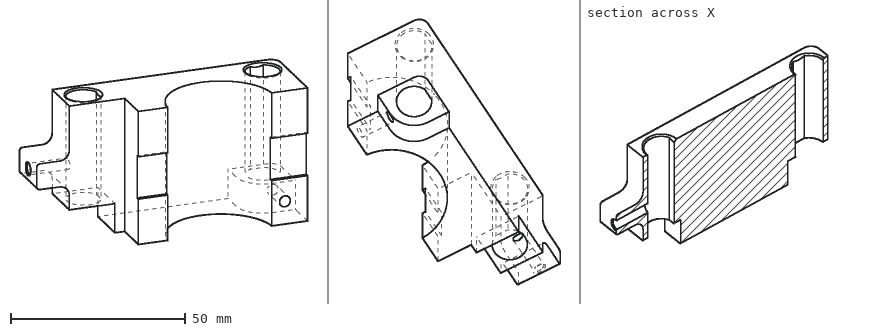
import cadquery as cq

length = 79.0
width = 25.0
height = 41.0
mid_height = height / 2
arm_width = 14.0
shoulder_y = 27.0
corner_radius = 3.0

tongue_length = 10.0
tongue_thickness = 8.0
root_radius = 3.0
tip_radius = 1.0

saddle_radius = 16.0
saddle_floor_x = 9.95
saddle_y = length - shoulder_y

bore_radius = 5.05
bore_rim_radius = 5.5
bore_flat_distance = 4.7
bore_x = arm_width / 2
rear_bore_y = length - bore_x
front_bore_y = 17.0

base_step_height = 9.0
base_step_y = 24.0
pocket_radius = 8.0
side_recess_depth = 1.0
side_recess_height = 13.0

screw_hole_diameter = 3.3
screw_rim_diameter = 4.0
side_hole_z = 7.0


def box(x_range, y_range, z_range):
    """Axis-aligned box given the lower and upper limit along each axis."""
    size = [high - low for low, high in (x_range, y_range, z_range)]
    corner = (x_range[0], y_range[0], z_range[0])
    return cq.Workplane("XY").box(*size, centered=False).translate(corner)


def cone(rim_radius, rim_center, direction):
    """Right-angled countersink running from its rim to a point."""
    return cq.Workplane(cq.Solid.makeCone(
        rim_radius, 0, rim_radius, cq.Vector(*rim_center), cq.Vector(*direction)))


def cylinder(radius, depth, start, direction):
    return cq.Workplane(cq.Solid.makeCylinder(
        radius, depth, cq.Vector(*start), cq.Vector(*direction)))


def make_block():
    """Stepped block with one rounded rear edge and the saddle cut away."""
    block = box((0, width), (tongue_length, length), (0, height))
    block = block.edges("|Z and <X and >Y").fillet(corner_radius)
    notch = box((arm_width, width), (0, shoulder_y), (0, height))
    saddle_axis = (saddle_floor_x + saddle_radius, saddle_y, 0)
    saddle = cylinder(saddle_radius, height, saddle_axis, (0, 0, 1))
    return block.cut(notch).cut(saddle)


def make_tongue():
    """Tongue with concave root fillets and rounded tip edges."""
    half = tongue_thickness / 2
    root_half = half + root_radius
    root_y = tongue_length
    inner_y = base_step_y
    fillet_y = root_y - root_radius
    return (
        cq.Workplane("YZ", origin=(0, 0, mid_height))
        .moveTo(0, -half)
        .lineTo(fillet_y, -half)
        .radiusArc((root_y, -root_half), root_radius)
        .lineTo(inner_y, -root_half)
        .lineTo(inner_y, root_half)
        .lineTo(root_y, root_half)
        .radiusArc((fillet_y, half), root_radius)
        .lineTo(0, half)
        .close()
        .extrude(arm_width)
        .edges("|X and <Y")
        .fillet(tip_radius)
    )


def make_bore(center_y, flat_angle):
    """Cutter for a through bore with its flat on the side at flat_angle (degrees from +X)."""
    flat_block = box((bore_flat_distance, bore_rim_radius), (-bore_radius, bore_radius), (0, height))
    bore = cylinder(bore_radius, height, (0, 0, 0), (0, 0, 1)).cut(flat_block)
    bore = bore.union(cone(bore_rim_radius, (0, 0, height), (0, 0, -1)))
    return bore.rotate((0, 0, 0), (0, 0, 1), flat_angle).translate((bore_x, center_y, 0))


def make_corner_pocket():
    """Base relief at the rear corner, with a rounded inner corner."""
    pocket_x = bore_x + pocket_radius
    pocket_y = rear_bore_y - pocket_radius
    pocket = box((0, pocket_x), (pocket_y, length), (0, base_step_height))
    return pocket.edges("|Z and >X and <Y").fillet(pocket_radius)


def make_base_step():
    return box((0, width), (tongue_length, base_step_y), (0, base_step_height))


def make_side_recess():
    half = side_recess_height / 2
    return box((width - side_recess_depth, width), (0, length), (mid_height - half, mid_height + half))


def make_screw_hole():
    """Countersunk hole along the tongue, opening into the front bore."""
    mouth = (bore_x, 0, mid_height)
    hole = cylinder(screw_hole_diameter / 2, front_bore_y, mouth, (0, 1, 0))
    return hole.union(cone(screw_rim_diameter / 2, mouth, (0, 1, 0)))


def make_side_hole():
    """Cross hole through the rear bore axis, opening into the corner pocket."""
    return cylinder(screw_hole_diameter / 2, width, (0, rear_bore_y, side_hole_z), (1, 0, 0))


result = make_block().union(make_tongue())
cutters = [
    make_bore(rear_bore_y, 180),
    make_bore(front_bore_y, 90),
    make_corner_pocket(),
    make_base_step(),
    make_side_recess(),
    make_screw_hole(),
    make_side_hole(),
]
for cutter in cutters:
    result = result.cut(cutter)